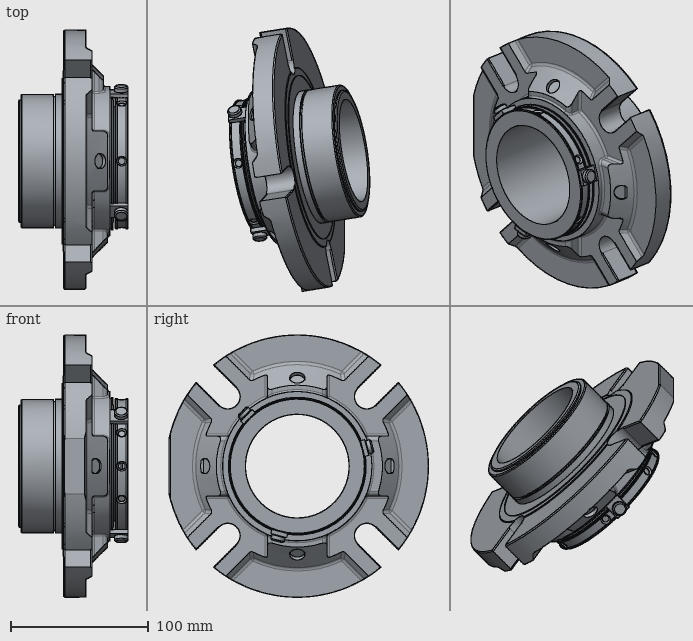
import cadquery as cq
import math


BORE_RADIUS = 75.01 / 2
TIP_RADIUS = 88.88 / 2
TIP_CHAMFER_LENGTH = 0.8
TIP_CHAMFER_WIDTH = 1.2
BARREL_START = 1.8
BARREL_RADIUS = 96.83 / 2
BARREL_CHAMFER = 0.8
O_RING_GROOVE_START = 25.4
O_RING_GROOVE_END = 26.9
O_RING_GROOVE_RADIUS = 93.83 / 2
SHOULDER_RADIUS = 97.16 / 2

SPIGOT_FACE = 31.7
SPIGOT_RADIUS = 120.07 / 2
GASKET_FACE = 32.3
GASKET_RADIUS = 65.4

FLANGE_FRONT = 32.9
FLANGE_BACK = 48.9
FLANGE_RADIUS = 190.25 / 2
FLAT_OFFSET = 188.12 - FLANGE_RADIUS
EDGE_CHAMFER_DEPTH = 1.1
EDGE_CHAMFER_WIDTH = 0.5
FLAT_BACK_CHAMFER = 1.0
SLOT_WIDTH = 17.7
SLOT_CENTRE_RADIUS = 71.2
SLOT_ANGLES = (45, 135, 225, 315)
PAD_FACE = 53.5
PAD_HALF_WIDTH = 19.8
PAD_FOOT_HALF_WIDTH = PAD_HALF_WIDTH + PAD_FACE - FLANGE_BACK

HUB_RADIUS = 54.1
HUB_END = 66.3
LOBE_END = 64.8
CONE_PAD_RADIUS = 70.0
CONE_FOOT_RADIUS = CONE_PAD_RADIUS + PAD_FACE - FLANGE_BACK
CONE_END_RADIUS = CONE_PAD_RADIUS + PAD_FACE - LOBE_END
LOBE_HALF_WIDTH = 21.7
LOBE_CORNER_RADIUS = 3.3
LOBE_ROOT_FILLET = 1.45
RECESS_FLOOR_FILLET = 1.7
FLANGE_ROOT_FILLET = 3.4
STOCK_RADIUS = 2 * FLANGE_RADIUS
STOCK_PAD_LENGTH = 3 * FLANGE_RADIUS
STOCK_ROOT_LIMIT = 1.6 * FLANGE_RADIUS
PORT_RADIUS = 11 / 2
SHORT_LOBE_END = 61.8
SIDE_PORT_X = 56.2
SIDE_PORT_DEPTH = 1.5
TOP_PORT_X = 59.4
TOP_PORT_DEPTH = 3.0
LOBES = {
    0: (SHORT_LOBE_END, SIDE_PORT_X, SIDE_PORT_DEPTH),
    90: (LOBE_END, TOP_PORT_X, TOP_PORT_DEPTH),
    180: (LOBE_END, SIDE_PORT_X, SIDE_PORT_DEPTH),
    270: (LOBE_END, TOP_PORT_X, TOP_PORT_DEPTH),
}

TOLERANCE = 0.01

NECK_RADIUS = 98.37 / 2
NECK_END = 67.7
DISC_RADIUS = 99.9 / 2
DISC_END = 68.6
STEP_RADIUS = 44.3
STEP_END = 69.0
SLEEVE_RADIUS = 79.35 / 2

COLLAR_START = 70.2
COLLAR_END = 79.64
COLLAR_RADIUS = 98.37 / 2
COLLAR_CHAMFER = 0.6
COLLAR_GROOVE_START = 71.8
COLLAR_GROOVE_END = 78.2
COLLAR_GROOVE_RADIUS = 96.83 / 2
SET_SCREW_X = (COLLAR_GROOVE_START + COLLAR_GROOVE_END) / 2
SET_SCREW_ANGLES = (30, 90, 150, 180, 210, 270, 330)
SET_SCREW_HOLE_RADIUS = 7.2 / 2
SET_SCREW_RADIUS = 4.92 / 2
SET_SCREW_SINK = 1.2
SET_SCREW_DEPTH = 1.6
DRIVER_SLOT_ANGLE = 180
DRIVER_SLOT_WIDTH = 1.2
DRIVER_SLOT_DEPTH = 0.8

CLIP_ANGLES = (15, 135, 255)
CLIP_WIDTH = 11.8
CLIP_INNER_RADIUS = 49.0
CLIP_OUTER_RADIUS = 52.1
CLIP_SCREW_RADIUS = 10 / 2
CLIP_SCREW_TOP = 56.4
CLIP_SCREW_SEAT = 52.6
CLIP_SCREW_CHAMFER = 1.0
CLIP_SHANK_RADIUS = 6 / 2


def ring(points):
    """Revolve a closed (x, radius) outline about the X axis."""
    return cq.Workplane("XY").polyline(points).close().revolve(360, (0, 0, 0), (1, 0, 0))


def cylinder(start, end, radius):
    """A solid cylinder on the X axis."""
    return cq.Workplane("YZ").workplane(offset=start).circle(radius).extrude(end - start)


def around(shape, angle):
    """Turn a shape built on the +Y side about the X axis."""
    return shape.rotate((0, 0, 0), (1, 0, 0), angle)


def make_barrel():
    return ring([
        (0, 0),
        (0, TIP_RADIUS - TIP_CHAMFER_WIDTH),
        (TIP_CHAMFER_LENGTH, TIP_RADIUS),
        (BARREL_START, TIP_RADIUS),
        (BARREL_START, BARREL_RADIUS - BARREL_CHAMFER),
        (BARREL_START + BARREL_CHAMFER, BARREL_RADIUS),
        (O_RING_GROOVE_START, BARREL_RADIUS),
        (O_RING_GROOVE_START, O_RING_GROOVE_RADIUS),
        (O_RING_GROOVE_END, O_RING_GROOVE_RADIUS),
        (O_RING_GROOVE_END, SHOULDER_RADIUS),
        (SPIGOT_FACE, SHOULDER_RADIUS),
        (SPIGOT_FACE, SPIGOT_RADIUS),
        (GASKET_FACE, SPIGOT_RADIUS),
        (GASKET_FACE, GASKET_RADIUS),
        (FLANGE_FRONT, GASKET_RADIUS + FLANGE_FRONT - GASKET_FACE),
        (FLANGE_BACK, GASKET_RADIUS + FLANGE_FRONT - GASKET_FACE),
        (FLANGE_BACK, 0),
    ])


def make_slot():
    """Cutter for one bolt slot on the +Y side, with both long edges chamfered front and back."""
    half_width = SLOT_WIDTH / 2
    mouth_half_width = half_width + EDGE_CHAMFER_WIDTH
    straight = (
        cq.Workplane("XY")
        .polyline([
            (SPIGOT_FACE, 0),
            (SPIGOT_FACE, mouth_half_width),
            (FLANGE_FRONT, mouth_half_width),
            (FLANGE_FRONT + EDGE_CHAMFER_DEPTH, half_width),
            (PAD_FACE - EDGE_CHAMFER_DEPTH, half_width),
            (PAD_FACE, mouth_half_width),
            (LOBE_END, mouth_half_width),
            (LOBE_END, 0),
        ])
        .close()
        .extrude(FLANGE_RADIUS)
        .translate((0, 0, SLOT_CENTRE_RADIUS))
        .rotate((0, 0, 0), (1, 0, 0), -90)
    )
    straight = straight.union(straight.mirror("XY"))
    end = cylinder(SPIGOT_FACE, LOBE_END, half_width)
    return straight.union(end.translate((0, SLOT_CENTRE_RADIUS, 0)))


def make_pad():
    """One flange pad with 45 degree sides, running outward along +Y and left tall for trimming."""
    top_half_width = PAD_HALF_WIDTH + PAD_FACE - LOBE_END
    return (
        cq.Workplane("XZ")
        .polyline([
            (FLANGE_FRONT, -PAD_FOOT_HALF_WIDTH),
            (FLANGE_BACK, -PAD_FOOT_HALF_WIDTH),
            (LOBE_END, -top_half_width),
            (LOBE_END, top_half_width),
            (FLANGE_BACK, PAD_FOOT_HALF_WIDTH),
            (FLANGE_FRONT, PAD_FOOT_HALF_WIDTH),
        ])
        .close()
        .extrude(-STOCK_PAD_LENGTH)
    )


def make_cone():
    """Solid 45 degree cone that carries the outer faces of the lobes."""
    return ring([
        (FLANGE_BACK, 0),
        (FLANGE_BACK, CONE_FOOT_RADIUS),
        (LOBE_END, CONE_END_RADIUS),
        (LOBE_END, 0),
    ])


def is_flange_root(edge):
    """True for the concave edges where the flange back, pad sides and cone meet."""
    centre = edge.Center()
    between_faces = FLANGE_BACK - TOLERANCE < centre.x < LOBE_END - TOLERANCE
    return between_faces and math.hypot(centre.y, centre.z) < STOCK_ROOT_LIMIT


def make_flange_back():
    """Flange back, pads and cone foot blended together, oversized so that the blends run out cleanly."""
    back = cylinder(FLANGE_FRONT, FLANGE_BACK, STOCK_RADIUS).union(make_cone())
    for angle in SLOT_ANGLES:
        back = back.union(around(make_pad(), angle))
    return back.edges().filter(is_flange_root).fillet(FLANGE_ROOT_FILLET)


def make_flange():
    """Flange trimmed to its rim and flat, with the rim edges chamfered."""
    beyond_flat = (
        cq.Workplane("XY")
        .box(HUB_END, FLANGE_RADIUS, 2 * FLANGE_RADIUS, centered=(False, False, True))
        .translate((0, -FLAT_OFFSET - FLANGE_RADIUS, 0))
    )
    rim = cylinder(FLANGE_FRONT, PAD_FACE, FLANGE_RADIUS).cut(beyond_flat)
    rim = rim.faces("<X").edges().chamfer(EDGE_CHAMFER_DEPTH, EDGE_CHAMFER_WIDTH)
    flange = make_flange_back().intersect(rim)
    flat_back_edge = cq.selectors.NearestToPointSelector((FLANGE_BACK, -FLAT_OFFSET, 0))
    return flange.edges(flat_back_edge).chamfer(FLAT_BACK_CHAMFER)


def make_lobe_bar(end):
    """A bar along +Y with rounded end corners, later trimmed to the cone to form a lobe."""
    return (
        cq.Workplane("XY")
        .box(end - PAD_FACE, FLANGE_RADIUS, 2 * LOBE_HALF_WIDTH, centered=(False, False, True))
        .translate((PAD_FACE, 0, 0))
        .edges(">X and |Y")
        .fillet(LOBE_CORNER_RADIUS)
    )


def is_recess_edge(edge):
    """True for the short edges around a lobe or the hub, false for the outer edge of the stock."""
    return edge.Length() < FLANGE_RADIUS


def make_hub():
    """Hub cylinder and its four lobes, whose outer faces lie on one 45 degree cone."""
    hub = cylinder(PAD_FACE, HUB_END, HUB_RADIUS)
    for angle, (end, _, _) in LOBES.items():
        hub = hub.union(around(make_lobe_bar(end), angle))
    root_edges = cq.selectors.BoxSelector(
        (PAD_FACE + TOLERANCE, -HUB_RADIUS, -HUB_RADIUS),
        (HUB_END - TOLERANCE, HUB_RADIUS, HUB_RADIUS),
    )
    hub = hub.edges(root_edges).fillet(LOBE_ROOT_FILLET)
    hub = hub.union(cylinder(FLANGE_BACK, PAD_FACE, STOCK_RADIUS))
    floor_edges = cq.selectors.BoxSelector(
        (PAD_FACE - TOLERANCE, -FLANGE_RADIUS, -FLANGE_RADIUS),
        (PAD_FACE + TOLERANCE, FLANGE_RADIUS, FLANGE_RADIUS),
    )
    hub = hub.edges(floor_edges).filter(is_recess_edge).fillet(RECESS_FLOOR_FILLET)
    end_envelope = cylinder(LOBE_END, HUB_END, HUB_RADIUS + LOBE_ROOT_FILLET)
    hub = hub.intersect(make_cone().union(end_envelope))
    for angle, (_, port_x, port_depth) in LOBES.items():
        hub = hub.cut(around(make_port(port_x, port_depth), angle))
    return hub


def make_port(centre_x, depth):
    """Cutter for the shallow port seat, square to the cone on the +Y side."""
    surface_radius = CONE_PAD_RADIUS + PAD_FACE - centre_x
    outward = cq.Vector(1, 1, 0).normalized()
    floor = cq.Vector(centre_x, surface_radius, 0) - outward * depth
    return cq.Workplane(cq.Solid.makeCylinder(PORT_RADIUS, depth + PORT_RADIUS, floor, outward))


def make_sleeve_end():
    return ring([
        (FLANGE_BACK, 0),
        (FLANGE_BACK, NECK_RADIUS),
        (NECK_END, NECK_RADIUS),
        (NECK_END, DISC_RADIUS),
        (DISC_END, DISC_RADIUS),
        (DISC_END, STEP_RADIUS),
        (STEP_END, STEP_RADIUS),
        (STEP_END, SLEEVE_RADIUS),
        (COLLAR_END, SLEEVE_RADIUS),
        (COLLAR_END, 0),
    ])


def make_set_screw_hole():
    """Cutter for a countersunk set screw hole in the +Y side of the collar."""
    rim_radius = COLLAR_GROOVE_RADIUS
    return (
        cq.Workplane("XY")
        .polyline([
            (0, rim_radius - SET_SCREW_DEPTH),
            (SET_SCREW_RADIUS, rim_radius - SET_SCREW_DEPTH),
            (SET_SCREW_RADIUS, rim_radius - SET_SCREW_SINK),
            (SET_SCREW_HOLE_RADIUS, rim_radius),
            (SET_SCREW_HOLE_RADIUS, DISC_RADIUS),
            (0, DISC_RADIUS),
        ])
        .close()
        .revolve(360, (0, 0, 0), (0, 1, 0))
        .translate((SET_SCREW_X, 0, 0))
    )


def make_collar():
    collar = ring([
        (COLLAR_START, 0),
        (COLLAR_START, COLLAR_RADIUS - COLLAR_CHAMFER),
        (COLLAR_START + COLLAR_CHAMFER, COLLAR_RADIUS),
        (COLLAR_GROOVE_START, COLLAR_RADIUS),
        (COLLAR_GROOVE_START, COLLAR_GROOVE_RADIUS),
        (COLLAR_GROOVE_END, COLLAR_GROOVE_RADIUS),
        (COLLAR_GROOVE_END, COLLAR_RADIUS),
        (COLLAR_END - COLLAR_CHAMFER, COLLAR_RADIUS),
        (COLLAR_END, COLLAR_RADIUS - COLLAR_CHAMFER),
        (COLLAR_END, 0),
    ])
    for angle in SET_SCREW_ANGLES:
        collar = collar.cut(around(make_set_screw_hole(), angle))
    driver_slot = (
        cq.Workplane("XY")
        .box(DRIVER_SLOT_WIDTH, SET_SCREW_DEPTH + DRIVER_SLOT_DEPTH, 2 * SET_SCREW_RADIUS,
             centered=(True, False, True))
        .translate((SET_SCREW_X, COLLAR_GROOVE_RADIUS - SET_SCREW_DEPTH - DRIVER_SLOT_DEPTH, 0))
    )
    return collar.cut(around(driver_slot, DRIVER_SLOT_ANGLE))


def make_clip():
    """A flat setting clip and its screw, on the +Y side."""
    plate = (
        cq.Workplane("XY")
        .box(COLLAR_END - HUB_END, CLIP_OUTER_RADIUS - CLIP_INNER_RADIUS, CLIP_WIDTH,
             centered=(False, False, True))
        .translate((HUB_END, CLIP_INNER_RADIUS, 0))
    )
    screw = (
        cq.Workplane("XY")
        .polyline([
            (0, SLEEVE_RADIUS),
            (CLIP_SHANK_RADIUS, SLEEVE_RADIUS),
            (CLIP_SHANK_RADIUS, CLIP_SCREW_SEAT),
            (CLIP_SCREW_RADIUS, CLIP_SCREW_SEAT),
            (CLIP_SCREW_RADIUS, CLIP_SCREW_TOP - CLIP_SCREW_CHAMFER),
            (CLIP_SCREW_RADIUS - CLIP_SCREW_CHAMFER, CLIP_SCREW_TOP),
            (0, CLIP_SCREW_TOP),
        ])
        .close()
        .revolve(360, (0, 0, 0), (0, 1, 0))
        .translate((COLLAR_END - CLIP_SCREW_RADIUS, 0, 0))
    )
    return plate.union(screw)


result = make_flange().union(make_barrel()).union(make_hub())
for slot_angle in SLOT_ANGLES:
    result = result.cut(around(make_slot(), slot_angle))
result = result.union(make_sleeve_end()).union(make_collar())
for clip_angle in CLIP_ANGLES:
    result = result.union(around(make_clip(), clip_angle))
result = result.cut(cylinder(0, COLLAR_END, BORE_RADIUS))